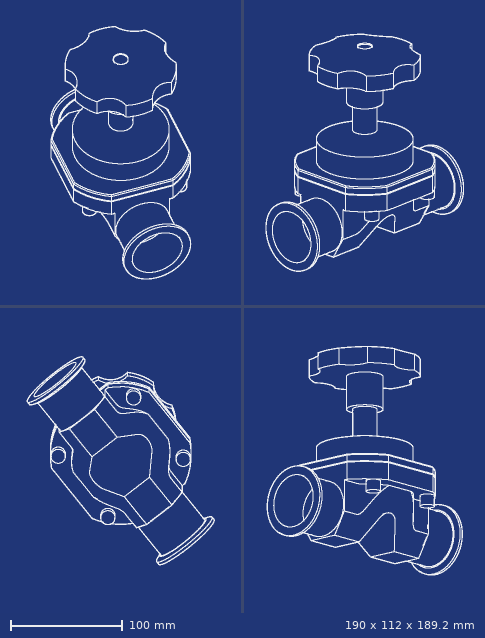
import cadquery as cq
import math

length = 190.0

ferrule_dia = 64.0
rim_thickness = 3.0
ferrule_cone_length = 2.3
ferrule_cone_end_dia = 53.2
pipe_dia = 50.7
bore_dia = 47.9

block_width = 112.0
half_width = block_width / 2
body_bottom = -27.0
flange_bottom = 22.2
wall_y = 26.2
flank_fillet = 10.3
fillet_start_x = 39.7
bulge_radius = 38.5
side_angle = math.radians(30)
side_y_at_axis = 30.0
tunnel_radius = 12.0
tunnel_top = 1.5

corner_dia = 126.5
seam_bottom = 38.2
seam_height = 0.8
seam_depth = 0.2
flange_top = 46.0
flange_chamfer = 1.1
bonnet_dia = 87.0
bonnet_shoulder = 67.3
bonnet_top = 76.0

bolt_dia = 13.0
bolt_x = 36.0
bolt_y = 43.1
bolt_bottom = 12.5

stem_dia = 22.0
hub_dia = 33.0
hub_bottom = 103.0
wheel_bottom = 133.4
wheel_shoulder = 148.4
wheel_top = 189.2 - ferrule_dia / 2
wheel_dia = 100.0
wheel_flat_dia = 27.0
scallop_count = 6
scallop_radius = 20.0
scallop_center = 63.0
recess_dia = 13.5
recess_depth = 1.1


def disc(diameter, bottom, top):
    """Vertical cylinder on the stem axis."""
    return cq.Workplane("XY").workplane(offset=bottom).circle(diameter / 2).extrude(top - bottom)


def domed_disc(diameter, flat_dia, bottom, shoulder, top):
    """Cylinder with a conical top that ends in a flat."""
    outline = [
        (0, bottom),
        (diameter / 2, bottom),
        (diameter / 2, shoulder),
        (flat_dia / 2, top),
        (0, top),
    ]
    return cq.Workplane("XZ").polyline(outline).close().revolve(360, (0, 0), (0, 1))


def body_plan():
    """Half of the plan outline on +Y, mirrored: flat walls, 45 degree flanks and a rounded middle."""
    s = math.sin(math.pi / 4)
    half_s = math.sin(math.pi / 8)
    half_c = math.cos(math.pi / 8)
    fillet_y = wall_y + flank_fillet
    fillet_mid = (fillet_start_x - flank_fillet * half_s, fillet_y - flank_fillet * half_c)
    fillet_end = (fillet_start_x - flank_fillet * s, fillet_y - flank_fillet * s)
    bulge_center_y = fillet_end[0] + fillet_end[1] - bulge_radius / s
    bulge_end = (bulge_radius * s, bulge_center_y + bulge_radius * s)
    bulge_mid = (0, bulge_center_y + bulge_radius)
    half = (
        cq.Workplane("XY").workplane(offset=body_bottom)
        .moveTo(half_width, 0)
        .lineTo(half_width, wall_y)
        .lineTo(fillet_start_x, wall_y)
        .threePointArc(fillet_mid, fillet_end)
        .lineTo(*bulge_end)
        .threePointArc(bulge_mid, (-bulge_end[0], bulge_end[1]))
        .lineTo(-fillet_end[0], fillet_end[1])
        .threePointArc((-fillet_mid[0], fillet_mid[1]), (-fillet_start_x, wall_y))
        .lineTo(-half_width, wall_y)
        .lineTo(-half_width, 0)
        .close()
        .extrude(flange_bottom - body_bottom)
    )
    return half.union(half.mirror("XZ"))


def make_body():
    """Body narrowed toward the bottom by leaning sides and arched by a tunnel along Y."""
    low_y = side_y_at_axis + body_bottom * math.tan(side_angle)
    high_y = side_y_at_axis + flange_bottom * math.tan(side_angle)
    section = [
        (-low_y, body_bottom),
        (low_y, body_bottom),
        (high_y, flange_bottom),
        (-high_y, flange_bottom),
    ]
    wedge = (
        cq.Workplane("YZ")
        .polyline(section)
        .close()
        .extrude(half_width, both=True)
    )
    arc_center_z = tunnel_top - tunnel_radius
    tangent_x = tunnel_radius * math.cos(side_angle)
    tangent_z = arc_center_z + tunnel_radius * math.sin(side_angle)
    foot_x = tangent_x + (tangent_z - body_bottom) * math.tan(side_angle)
    tunnel = (
        cq.Workplane("XZ")
        .moveTo(-foot_x, body_bottom)
        .lineTo(-tangent_x, tangent_z)
        .threePointArc((0, tunnel_top), (tangent_x, tangent_z))
        .lineTo(foot_x, body_bottom)
        .close()
        .extrude(block_width, both=True)
    )
    return body_plan().intersect(wedge).cut(tunnel)


def flange_slab(bottom, top, inset=0.0):
    """Square slab with its corners rounded about the stem axis."""
    width = block_width - 2 * inset
    slab = cq.Workplane("XY").workplane(offset=bottom).rect(width, width).extrude(top - bottom)
    return slab.intersect(disc(corner_dia - 2 * inset, bottom, top))


def make_flange():
    """Body flange and bonnet flange with a narrow seam between them."""
    seam_top = seam_bottom + seam_height
    lower = flange_slab(flange_bottom, seam_bottom)
    seam = flange_slab(seam_bottom, seam_top, seam_depth)
    upper = flange_slab(seam_top, flange_top).faces(">Z").edges().chamfer(flange_chamfer)
    return lower.union(seam).union(upper)


def make_pipe_end():
    """Pipe stub on -X with a clamp ferrule, bored as far as the body."""
    end_x = -length / 2
    cone_start = end_x + rim_thickness
    cone_end = cone_start + ferrule_cone_length
    outline = [
        (end_x, bore_dia / 2),
        (end_x, ferrule_dia / 2),
        (cone_start, ferrule_dia / 2),
        (cone_end, ferrule_cone_end_dia / 2),
        (cone_end, pipe_dia / 2),
        (-half_width, pipe_dia / 2),
        (-half_width, bore_dia / 2),
    ]
    return cq.Workplane("XY").polyline(outline).close().revolve(360, (0, 0), (1, 0))


def make_bolts():
    return (
        cq.Workplane("XY").workplane(offset=bolt_bottom)
        .rect(2 * bolt_x, 2 * bolt_y, forConstruction=True)
        .vertices()
        .circle(bolt_dia / 2)
        .extrude(flange_bottom - bolt_bottom)
    )


def make_handwheel():
    """Domed wheel with finger scallops and a shallow recess in its top."""
    wheel = domed_disc(wheel_dia, wheel_flat_dia, wheel_bottom, wheel_shoulder, wheel_top)
    scallops = (
        cq.Workplane("XY").workplane(offset=wheel_bottom)
        .polarArray(scallop_center, 90, 360, scallop_count)
        .circle(scallop_radius)
        .extrude(wheel_top - wheel_bottom)
    )
    recess = disc(recess_dia, wheel_top - recess_depth, wheel_top)
    return wheel.cut(scallops).cut(recess)


pipe_end = make_pipe_end()
result = (
    make_body()
    .union(make_flange())
    .union(pipe_end)
    .union(pipe_end.mirror("YZ"))
    .union(make_bolts())
    .union(domed_disc(bonnet_dia, stem_dia, flange_top, bonnet_shoulder, bonnet_top))
    .union(disc(stem_dia, bonnet_top, hub_bottom))
    .union(disc(hub_dia, hub_bottom, wheel_bottom))
    .union(make_handwheel())
)